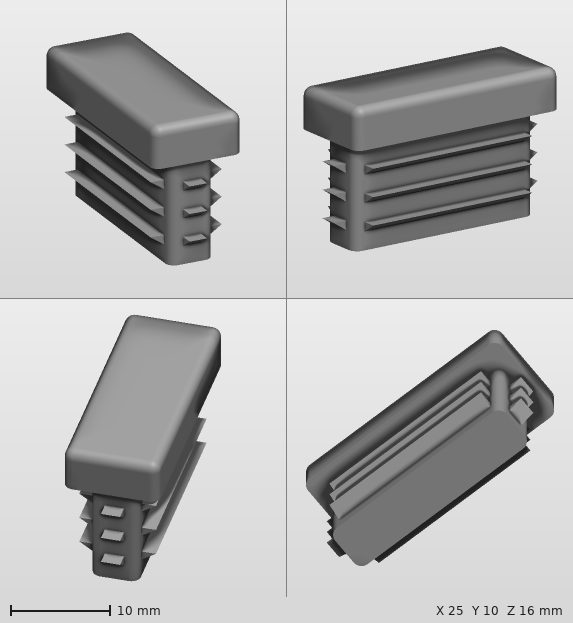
import cadquery as cq

cap_length = 25.0
cap_width = 10.0
cap_height = 4.5
edge_radius = 1.0

total_height = 16.0
stem_length = 22.0
stem_width = 5.0
stem_height = total_height - cap_height

barb_reach = 1.5
barb_height = 1.0
barb_pitch = 3.0
barb_count = 3
first_barb_top = stem_height - 2.5
long_barb_length = 19.5
end_barb_length = 2.0


def make_cap():
    block = cq.Workplane("XY").box(cap_length, cap_width, cap_height, centered=(True, True, False))
    rounded = block.edges("|Z").fillet(edge_radius).faces(">Z").edges().fillet(edge_radius)
    return rounded.translate((0, 0, stem_height))


def make_stem():
    block = cq.Workplane("XY").box(stem_length, stem_width, stem_height, centered=(True, True, False))
    return block.edges("|Z").fillet(edge_radius)


def make_barb(plane, wall, length, top, side):
    """Triangular barb centred on the stem wall; side is +1 or -1 along the outward axis."""
    profile = [
        (side * wall, top),
        (side * (wall + barb_reach), top),
        (side * wall, top - barb_height),
    ]
    return cq.Workplane(plane).polyline(profile).close().extrude(length / 2, both=True)


result = make_stem().union(make_cap())
for level in range(barb_count):
    barb_top = first_barb_top - level * barb_pitch
    for side in (-1, 1):
        result = result.union(make_barb("YZ", stem_width / 2, long_barb_length, barb_top, side))
        result = result.union(make_barb("XZ", stem_length / 2, end_barb_length, barb_top, side))